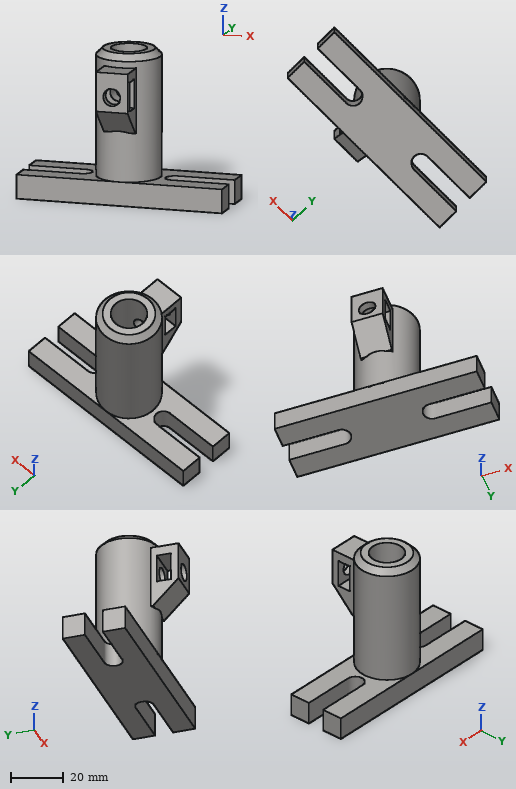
import cadquery as cq

plate_length = 82.65
plate_thickness = 9.5
slot_width = 7.3
slot_inner_reach = 14.8

post_diameter = 25.4
post_radius = post_diameter / 2
total_height = 59.7
post_chamfer = 2.6
bore_diameter = 14.0

lug_width = 12.7
lug_reach = 35.0 - post_radius
lug_top = 54.55
lug_face_bottom = 39.1
lug_bottom = 28.85
lug_slope_run = lug_face_bottom - lug_bottom

window_inner_y = 13.5
window_outer_y = 19.2
window_bottom = 39.3
window_top = 50.7

pin_diameter = 6.8
pin_height = (window_bottom + window_top) / 2


def make_plate():
    plate = cq.Workplane("XY").box(
        plate_length, post_diameter, plate_thickness, centered=(True, True, False)
    )
    slot_radius = slot_width / 2
    arc_center = slot_inner_reach + slot_radius
    slot_end = plate_length / 2
    for side in (-1, 1):
        slot = (
            cq.Workplane("XY")
            .moveTo(side * slot_end, slot_radius)
            .lineTo(side * arc_center, slot_radius)
            .threePointArc((side * slot_inner_reach, 0), (side * arc_center, -slot_radius))
            .lineTo(side * slot_end, -slot_radius)
            .close()
            .extrude(plate_thickness)
        )
        plate = plate.cut(slot)
    return plate


def make_post():
    return cq.Workplane("XY").circle(post_radius).extrude(total_height).faces(">Z").chamfer(post_chamfer)


def make_lug():
    profile = [
        (0, lug_top),
        (-lug_reach, lug_top),
        (-lug_reach, lug_face_bottom),
        (-lug_reach + lug_slope_run, lug_bottom),
        (0, lug_bottom),
    ]
    lug = cq.Workplane("YZ").polyline(profile).close().extrude(lug_width / 2, both=True)
    window = (
        cq.Workplane("YZ")
        .moveTo(-window_outer_y, window_bottom)
        .lineTo(-window_inner_y, window_bottom)
        .lineTo(-window_inner_y, window_top)
        .lineTo(-window_outer_y, window_top)
        .close()
        .extrude(lug_width / 2, both=True)
    )
    return lug.cut(window)


def make_bore():
    return (
        cq.Workplane("XY")
        .workplane(offset=plate_thickness)
        .circle(bore_diameter / 2)
        .extrude(total_height - plate_thickness)
    )


def make_pin_hole():
    return (
        cq.Workplane("XZ")
        .center(0, pin_height)
        .circle(pin_diameter / 2)
        .extrude(lug_reach)
    )


body = make_plate().union(make_post()).union(make_lug())
result = body.cut(make_bore()).cut(make_pin_hole())